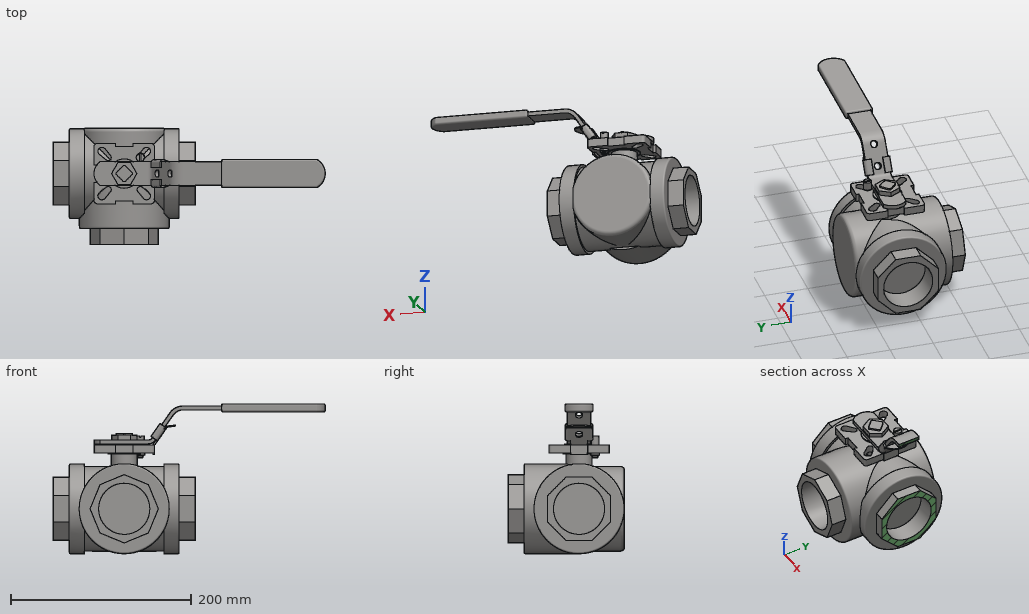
import cadquery as cq
import math


pipe_radius = 47.0
flange_diameter = 100.0
flange_inner = 44.0
flange_outer = 61.0
flange_fillet = 1.8
port_reach = 78.8
octagon_sides = 8
octagon_flats = 70.0
bore_diameter = 56.8
bore_depth = 28.5
back_reach = 50.5
back_fillet = 4.5

neck_diameter = 29.0
plate_size = 67.0
plate_bottom = 62.0
plate_thickness = 9.0
plate_corner_radius = 3.5
notch_width = 19.3
notch_depth = 3.3
collar_diameter = 36.0
boss_diameter = 32.5
step_height = 1.0
slot_inner_offset = 17.8
slot_outer_offset = 24.8
slot_inner_diameter = 7.0
slot_outer_diameter = 8.8

lever_width = 26.3
lever_thickness = 4.5
crank_angle = 55.0
lower_bend_start = 26.3
lower_bend_radius = 6.3
upper_bend_radius = 17.8
lever_tip_radius = 16.3
lock_hole_diameter = 8.0
lower_hole_distance = 8.8

grip_start = 107.8
grip_end = 223.2
grip_width = 31.5
grip_thickness = 9.0
overall_height = 166.5
grip_nose_diameter = 36.0
grip_fillet = 2.0

lock_length = 17.5
lock_opening = 13.3
lock_fillet = 3.5
lock_tongue_width = 18.7
lock_tongue_outer = 33.8
lock_tongue_thickness = 2.0
lock_tongue_bottom = 60.0
finger_tip_x = 57.0
finger_tip_low = 91.8
finger_tip_high = 93.0

shank_diameter = 6.0
head_diameter = 9.0
head_height = 10.0
driver_slot_width = 1.2
driver_slot_depth = 1.5
screw_nut_diameter = 10.0
screw_nut_height = 3.3
screw_nut_chamfer = 1.2
screw_end_length = 2.0
screw_end_chamfer = 0.5

nut_sides = 6
nut_corners = 28.0
nut_height = 5.5
stem_diameter = 18.0
stem_flats = 14.0
stem_rise = 1.8

octagon_half_step = math.pi / octagon_sides
flange_radius = flange_diameter / 2
grip_nose_radius = grip_nose_diameter / 2
grip_top = overall_height - flange_radius
plate_top = plate_bottom + plate_thickness
boss_top = plate_top + step_height
lever_foot_mid = boss_top + lever_thickness / 2
lever_foot_top = boss_top + lever_thickness
lever_arm_mid = grip_top - grip_thickness / 2
grip_wall = (grip_thickness - lever_thickness) / 2
lock_wall = grip_wall
lock_width = lever_width + 2 * lock_wall

crank_cos = math.cos(math.radians(crank_angle))
crank_sin = math.sin(math.radians(crank_angle))
lower_mid_radius = lower_bend_radius + lever_thickness / 2
upper_mid_radius = upper_bend_radius - lever_thickness / 2
bend_rise = (lower_mid_radius + upper_mid_radius) * (1 - crank_cos)
slope_length = (lever_arm_mid - lever_foot_mid - bend_rise) / crank_sin
slope_start_x = lower_bend_start + lower_mid_radius * crank_sin
slope_start_z = lever_foot_mid + lower_mid_radius * (1 - crank_cos)
upper_hole_distance = slope_length


def slope_point(along, above):
    """XZ point on the sloping lever, from the start of its middle line."""
    return (
        slope_start_x + along * crank_cos - above * crank_sin,
        slope_start_z + along * crank_sin + above * crank_cos,
    )


def slope_x(x, above):
    """XZ point where a line parallel to the slope reaches the given X."""
    along = (x - slope_start_x + above * crank_sin) / crank_cos
    return slope_point(along, above)


def slope_plane(along):
    """Plane lying in the lever slope: X across, Y up the slope, Z away from its upper face."""
    x, z = slope_point(along, 0)
    return cq.Plane(origin=(x, 0, z), xDir=(0, -1, 0), normal=(-crank_sin, 0, crank_cos))


def cylinder(diameter, bottom, top, x=0.0, y=0.0):
    """Upright cylinder between two heights."""
    return cq.Workplane("XY", origin=(x, y, bottom)).circle(diameter / 2).extrude(top - bottom)


def port_plane(direction, distance):
    """Plane across a port axis, with its local Y pointing up."""
    origin = tuple(distance * d for d in direction)
    return cq.Plane(origin=origin, xDir=(-direction[1], direction[0], 0), normal=direction)


def make_collar(direction, start):
    collar = cq.Workplane(port_plane(direction, start)).circle(flange_radius).extrude(flange_outer - start)
    end_face = cq.selectors.DirectionMinMaxSelector(cq.Vector(*direction))
    return collar.faces(end_face).edges().fillet(flange_fillet)


def make_octagon(direction, turn):
    corners = octagon_flats / math.cos(octagon_half_step)
    plane = port_plane(direction, 0).rotated((0, 0, turn))
    return cq.Workplane(plane).polygon(octagon_sides, corners).extrude(port_reach)


def make_bore(direction):
    floor = port_plane(direction, port_reach - bore_depth)
    return cq.Workplane(floor).circle(bore_diameter / 2).extrude(bore_depth)


def make_plate():
    plate = (
        cq.Workplane("XY", origin=(0, 0, plate_bottom))
        .rect(plate_size, plate_size)
        .extrude(plate_thickness)
        .edges("|Z")
        .fillet(plate_corner_radius)
    )
    notch = (
        cq.Workplane("XY", origin=(plate_size / 2, 0, plate_bottom))
        .rect(2 * notch_depth, notch_width)
        .extrude(plate_thickness)
    )
    slot = make_plate_slot()
    for quarter in range(4):
        turn = 90 * quarter
        plate = plate.cut(notch.rotate((0, 0, 0), (0, 0, 1), turn))
        plate = plate.cut(slot.rotate((0, 0, 0), (0, 0, 1), turn + 45))
    return plate


def make_plate_slot():
    """Slot along +X that widens outward: two circles joined by their outer tangents."""
    inner_x = slot_inner_offset * math.sqrt(2)
    outer_x = slot_outer_offset * math.sqrt(2)
    inner_radius = slot_inner_diameter / 2
    outer_radius = slot_outer_diameter / 2
    tangent_sin = (inner_radius - outer_radius) / (outer_x - inner_x)
    tangent_cos = math.sqrt(1 - tangent_sin ** 2)
    inner_touch = (inner_x + inner_radius * tangent_sin, inner_radius * tangent_cos)
    outer_touch = (outer_x + outer_radius * tangent_sin, outer_radius * tangent_cos)
    return (
        cq.Workplane("XY", origin=(0, 0, plate_bottom))
        .moveTo(*inner_touch)
        .lineTo(*outer_touch)
        .threePointArc((outer_x + outer_radius, 0), (outer_touch[0], -outer_touch[1]))
        .lineTo(inner_touch[0], -inner_touch[1])
        .threePointArc((inner_x - inner_radius, 0), inner_touch)
        .close()
        .extrude(plate_thickness)
    )


def make_valve_body():
    left, right, front, back = (-1, 0, 0), (1, 0, 0), (0, -1, 0), (0, 1, 0)
    body = cq.Workplane(port_plane(left, -flange_inner)).circle(pipe_radius).extrude(2 * flange_inner)
    closed_end = cq.Workplane(port_plane(back, 0)).circle(pipe_radius).extrude(back_reach)
    body = body.union(closed_end.faces(">Y").edges().fillet(back_fillet))

    for direction in (left, right):
        body = body.union(make_collar(direction, flange_inner))
        body = body.union(make_octagon(direction, math.degrees(octagon_half_step)))
    body = body.union(make_collar(front, 0))
    body = body.union(make_octagon(front, 0))

    body = body.union(cylinder(neck_diameter, 0, plate_bottom))
    body = body.union(make_plate())
    body = body.union(cylinder(collar_diameter, plate_bottom - step_height, plate_bottom))
    body = body.union(cylinder(boss_diameter, plate_top, boss_top))

    for direction in (left, right, front):
        body = body.cut(make_bore(direction))
    return body


def make_stem():
    top = lever_foot_top + nut_height + stem_rise
    squared = (
        cq.Workplane("XY", origin=(0, 0, boss_top))
        .rect(stem_flats, stem_flats)
        .extrude(top - boss_top)
        .rotate((0, 0, 0), (0, 0, 1), 45)
    )
    return cylinder(stem_diameter, boss_top, top).intersect(squared)


def make_stem_nut():
    base = cq.Workplane("XY", origin=(0, 0, lever_foot_top))
    hexagon = base.polygon(nut_sides, nut_corners).extrude(nut_height)
    return hexagon.union(make_stem())


def round_nosed_bar(start, end, width, nose_radius, bottom, height):
    """Flat bar along +X from start to end, its far end rounded to the nose radius."""
    shoulder = end - nose_radius + math.sqrt(nose_radius ** 2 - (width / 2) ** 2)
    return (
        cq.Workplane("XY", origin=(0, 0, bottom))
        .moveTo(start, -width / 2)
        .lineTo(shoulder, -width / 2)
        .threePointArc((end, 0), (shoulder, width / 2))
        .lineTo(start, width / 2)
        .close()
        .extrude(height)
    )


def make_hole(along):
    """Cutter for a hole square to the slope, long enough for the lever and the lock slide."""
    half_length = lever_thickness + 2 * lock_wall
    return cq.Workplane(slope_plane(along)).circle(lock_hole_diameter / 2).extrude(half_length, both=True)


def make_lever_end():
    """Straight arm from the upper bend to the rounded end inside the grip."""
    arm_start = slope_start_x + slope_length * crank_cos + upper_mid_radius * crank_sin
    return round_nosed_bar(
        arm_start,
        grip_end - grip_wall,
        lever_width,
        grip_nose_radius - grip_wall,
        lever_arm_mid - lever_thickness / 2,
        lever_thickness,
    )


def make_lever_foot():
    """Flat foot with a rounded tip, flush with the -X edge of the plate."""
    foot = round_nosed_bar(
        -lower_bend_start,
        plate_size / 2,
        lever_width,
        lever_tip_radius,
        boss_top,
        lever_thickness,
    )
    return foot.rotate((0, 0, 0), (0, 0, 1), 180)


def make_lever_crank():
    """Sloping middle stretch with its two bends."""
    half = lever_thickness / 2
    lower_centre = (lower_bend_start, lever_foot_mid + lower_mid_radius)
    upper_centre_x = slope_start_x + slope_length * crank_cos + upper_mid_radius * crank_sin
    upper_centre = (upper_centre_x, lever_arm_mid - upper_mid_radius)
    half_sin = math.sin(math.radians(crank_angle / 2))
    half_cos = math.cos(math.radians(crank_angle / 2))

    def lower_bend_middle(radius):
        return lower_centre[0] + radius * half_sin, lower_centre[1] - radius * half_cos

    def upper_bend_middle(radius):
        return upper_centre[0] - radius * half_sin, upper_centre[1] + radius * half_cos

    return (
        cq.Workplane("XZ", origin=(0, lever_width / 2, 0))
        .moveTo(lower_bend_start, lever_foot_mid + half)
        .threePointArc(lower_bend_middle(lower_mid_radius - half), slope_point(0, half))
        .lineTo(*slope_point(slope_length, half))
        .threePointArc(upper_bend_middle(upper_mid_radius + half), (upper_centre_x, lever_arm_mid + half))
        .lineTo(upper_centre_x, lever_arm_mid - half)
        .threePointArc(upper_bend_middle(upper_mid_radius - half), slope_point(slope_length, -half))
        .lineTo(*slope_point(0, -half))
        .threePointArc(lower_bend_middle(lower_mid_radius + half), (lower_bend_start, lever_foot_mid - half))
        .close()
        .extrude(lever_width)
    )


def make_lever():
    lever = make_lever_foot().union(make_lever_crank()).union(make_lever_end())
    lever = lever.cut(make_stem())
    return lever.cut(make_hole(lower_hole_distance)).cut(make_hole(upper_hole_distance))


def make_grip():
    bottom = grip_top - grip_thickness
    sleeve = round_nosed_bar(grip_start, grip_end, grip_width, grip_nose_radius, bottom, grip_thickness)
    return sleeve.edges("not(|Z and >X)").fillet(grip_fillet).cut(make_lever_end())


def make_lock_tongue():
    """Tongue that follows the slope down and drops into the +X notch of the plate."""
    outer = -(lever_thickness / 2 + lock_wall)
    inner = -lever_thickness / 2
    inner_x = lock_tongue_outer - lock_tongue_thickness
    return (
        cq.Workplane("XZ", origin=(0, lock_tongue_width / 2, 0))
        .polyline([
            slope_point(lock_wall, outer),
            slope_x(lock_tongue_outer, outer),
            (lock_tongue_outer, lock_tongue_bottom),
            (inner_x, lock_tongue_bottom),
            slope_x(inner_x, inner),
            slope_point(lock_wall, inner),
        ])
        .close()
        .extrude(lock_tongue_width)
    )


def make_lock_finger():
    """Finger tab bent away from the lower wall, with a semicircular end."""
    lever_face = -lever_thickness / 2
    root = lock_length - lock_wall
    profile = (
        cq.Workplane("XZ", origin=(0, lock_width / 2, 0))
        .polyline([
            slope_point(root, lever_face),
            slope_point(root, lever_face - lock_wall / 2),
            slope_point(lock_length, lever_face - lock_wall / 2),
            (finger_tip_x, finger_tip_low),
            (finger_tip_x, finger_tip_high),
            slope_point(lock_length + lock_wall / 2, lever_face),
        ])
        .close()
        .extrude(lock_width)
    )
    outline = round_nosed_bar(0, finger_tip_x, lock_width, lock_width / 2, 0, grip_top)
    return profile.intersect(outline)


def make_lock_slide():
    height = lever_thickness + 2 * lock_wall
    slide = (
        cq.Workplane(slope_plane(lock_length / 2))
        .box(lock_width, lock_length, height)
        .edges(cq.selectors.ParallelDirSelector(cq.Vector(crank_cos, 0, crank_sin)))
        .fillet(lock_fillet)
    )
    channel = cq.Workplane(slope_plane(lock_length / 2)).box(lever_width, lock_length, lever_thickness)
    opening = (
        cq.Workplane(slope_plane(lock_length / 2))
        .rect(lock_opening, lock_length)
        .extrude(height / 2)
    )
    slide = slide.cut(channel).cut(opening)
    slide = slide.union(make_lock_tongue()).union(make_lock_finger())
    return slide.cut(make_hole(lower_hole_distance))


def make_stop_screw():
    x = slot_inner_offset
    y = slot_inner_offset
    head_top = plate_top + head_height
    nut_bottom = plate_bottom - screw_nut_height
    screw_bottom = nut_bottom - screw_end_length

    head = cylinder(head_diameter, plate_top, head_top, x, y)
    driver_slot = cq.Workplane("XY", origin=(x, y, head_top)).box(
        driver_slot_width, head_diameter, 2 * driver_slot_depth
    )
    shank = cylinder(shank_diameter, screw_bottom, plate_top, x, y)
    shank = shank.faces("<Z").edges().chamfer(screw_end_chamfer)
    nut = cylinder(screw_nut_diameter, nut_bottom, plate_bottom, x, y)
    nut = nut.faces("<Z").edges().chamfer(screw_nut_chamfer)
    return head.cut(driver_slot).union(shank).union(nut)


valve_body = make_valve_body()
stem_nut = make_stem_nut()
lever = make_lever()
grip = make_grip()
lock_slide = make_lock_slide()
stop_screw = make_stop_screw()

result = cq.Compound.makeCompound([
    valve_body.val(),
    stem_nut.val(),
    lever.val(),
    grip.val(),
    lock_slide.val(),
    stop_screw.val(),
])